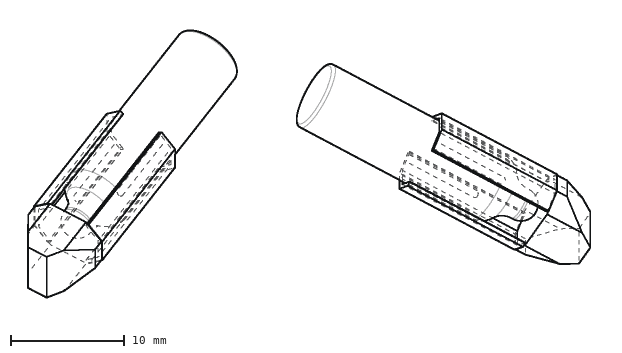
import cadquery as cq
import math

length = 27.93

shaft_radius = 3.13
rim_round = 0.265
shoulder_y = 9.92
nose_inflection_y = 8.45
nose_neck_y = 6.8
ball_radius = 1.48
ball_gap = 0.05

head_length = 5.03
head_half_width = 3.5
head_half_height = 3.07
head_top_half_width = 1.87
tip_half_width = 0.98
taper_length = 3.97

arm_end_y = 16.93
arm_outer_width = 7.12
arm_half_width = arm_outer_width / 2
arm_crest_x = 2.15
arm_crest_z = 2.9
arm_wall = 0.45
slot_width = 3.71
slot_half_width = slot_width / 2

side_half_height = 1.4


def make_shaft():
    """Revolved shaft: a convex shoulder and a concave neck lead to a hemispherical ball."""
    convex_length = shoulder_y - nose_inflection_y
    concave_length = nose_inflection_y - nose_neck_y
    radius_drop = shaft_radius - ball_radius
    turn = 2 * math.atan(radius_drop / (convex_length + concave_length))
    convex_radius = convex_length / math.sin(turn)
    concave_radius = concave_length / math.sin(turn)

    def convex_point(angle):
        return (
            shaft_radius - convex_radius * (1 - math.cos(angle)),
            shoulder_y - convex_radius * math.sin(angle),
        )

    def concave_point(angle):
        return (
            ball_radius + concave_radius * (1 - math.cos(angle)),
            nose_neck_y + concave_radius * math.sin(angle),
        )

    ball_tip_y = head_length + ball_gap
    ball_center_y = ball_tip_y + ball_radius
    diagonal = ball_radius * math.sqrt(0.5)
    profile = (
        cq.Workplane("XY")
        .moveTo(0, length)
        .lineTo(shaft_radius, length)
        .lineTo(shaft_radius, shoulder_y)
        .threePointArc(convex_point(turn / 2), convex_point(turn))
        .threePointArc(concave_point(turn / 2), (ball_radius, nose_neck_y))
        .lineTo(ball_radius, ball_center_y)
        .threePointArc((diagonal, ball_center_y - diagonal), (0, ball_tip_y))
        .close()
    )
    return profile.revolve(360, (0, 0, 0), (0, 1, 0)).faces(">Y").edges().fillet(rim_round)


def extrude_along_y(section, start_y, end_y):
    """Extrude a closed (x, z) outline from start_y to end_y."""
    return (
        cq.Workplane("XZ", origin=(0, end_y, 0))
        .polyline(section)
        .close()
        .extrude(end_y - start_y)
    )


def make_head():
    """Octagonal block whose sides taper towards the flat tip."""
    upper_half = [
        (head_half_width, side_half_height),
        (head_top_half_width, head_half_height),
        (-head_top_half_width, head_half_height),
        (-head_half_width, side_half_height),
    ]
    lower_half = [(-x, -z) for x, z in upper_half]
    block = extrude_along_y(upper_half + lower_half, 0, head_length)

    wedge = (
        cq.Workplane("XY", origin=(0, 0, -head_half_height))
        .polyline([
            (tip_half_width, 0),
            (head_half_width, taper_length),
            (head_half_width, head_length),
            (-head_half_width, head_length),
            (-head_half_width, taper_length),
            (-tip_half_width, 0),
        ])
        .close()
        .extrude(2 * head_half_height)
    )
    return block.intersect(wedge)


def make_arm():
    """Channel on the +X side: a flat web with two bevelled flanges, all of one wall thickness.

    The wall just bites into the shaft. The flange ends are square to the bevel,
    with the inner corner trimmed by the slot between the two arms.
    """
    bevel_angle = math.atan2(arm_crest_z - side_half_height, arm_half_width - arm_crest_x)
    web_x = arm_half_width - arm_wall
    web_corner_z = side_half_height - arm_wall * math.tan(math.pi / 4 - bevel_angle / 2)
    end_face_drop = (arm_crest_x - slot_half_width) / math.tan(bevel_angle)
    trim_bottom_z = web_corner_z + (web_x - slot_half_width) * math.tan(bevel_angle)
    upper_half = [
        (arm_half_width, side_half_height),
        (arm_crest_x, arm_crest_z),
        (slot_half_width, arm_crest_z - end_face_drop),
        (slot_half_width, trim_bottom_z),
        (web_x, web_corner_z),
    ]
    lower_half = [(x, -z) for x, z in reversed(upper_half)]
    return extrude_along_y(upper_half + lower_half, head_length, arm_end_y)


arm = make_arm()
result = make_shaft().union(make_head()).union(arm).union(arm.mirror("YZ"))